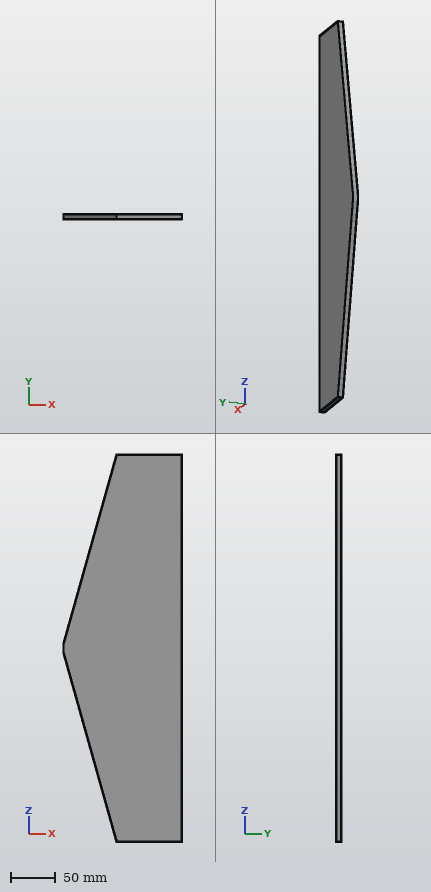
import cadquery as cq
import math

WIDTH = 132.15
THICKNESS = 6.0
HEIGHT = 430.08

END_WIDTH = 73.0
TIP_HEIGHT = 9.0

EDGE_RADIUS = THICKNESS
HALF_THICKNESS = THICKNESS / 2
EDGE_BULGE = EDGE_RADIUS - math.sqrt(EDGE_RADIUS**2 - HALF_THICKNESS**2)

LEFT = -WIDTH / 2
RIGHT = WIDTH / 2
TOP = HEIGHT / 2


def make_plate():
    """Flat plate, symmetric about Z = 0, with a blunted tip on -X."""
    shoulder = RIGHT - END_WIDTH
    outline = [
        (LEFT, -TIP_HEIGHT / 2),
        (shoulder, -TOP),
        (RIGHT, -TOP),
        (RIGHT, TOP),
        (shoulder, TOP),
        (LEFT, TIP_HEIGHT / 2),
    ]
    return cq.Workplane("XZ").polyline(outline).close().extrude(HALF_THICKNESS, both=True)


def make_rounded_edge_envelope():
    """Full-height bar whose XY section ends in the bulged +X edge."""
    arc_start = RIGHT - EDGE_BULGE
    return (
        cq.Workplane("XY")
        .moveTo(LEFT, -HALF_THICKNESS)
        .lineTo(arc_start, -HALF_THICKNESS)
        .threePointArc((RIGHT, 0), (arc_start, HALF_THICKNESS))
        .lineTo(LEFT, HALF_THICKNESS)
        .close()
        .extrude(TOP, both=True)
    )


result = make_plate().intersect(make_rounded_edge_envelope())